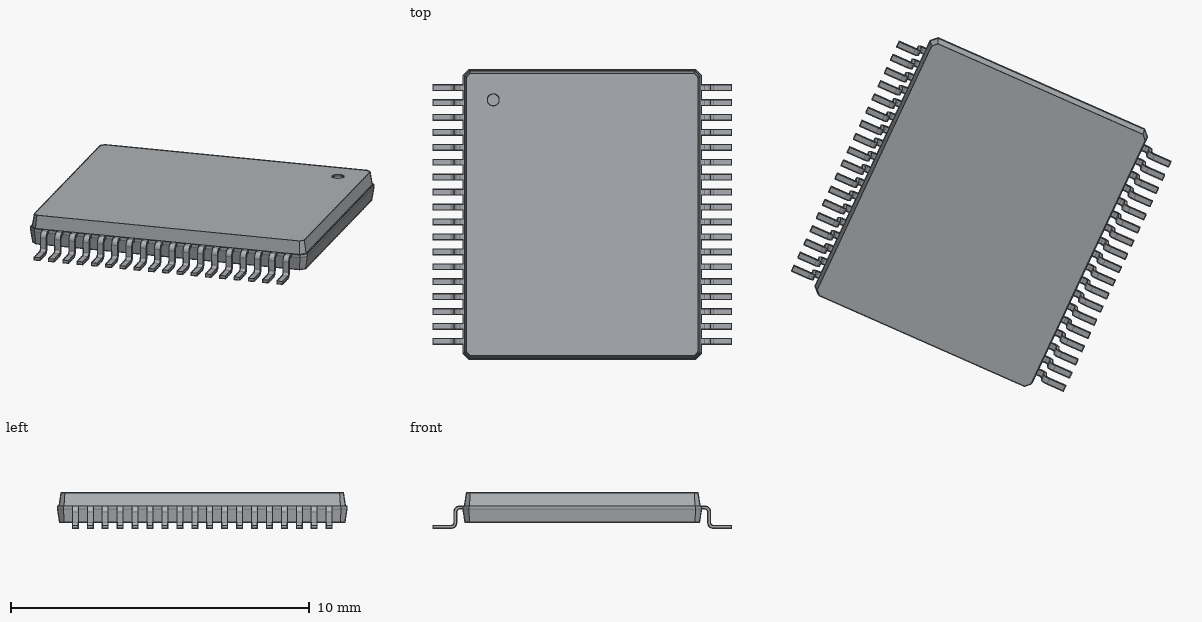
import cadquery as cq
import math

lead_span = 10.0
body_width = 8.0
body_length = 9.7
total_height = 1.2
standoff = 0.2
corner_chamfer = 0.2

leads_per_side = 18
lead_pitch = 0.5
lead_width = 0.2
lead_thickness = 0.1
bend_inner_radius = 0.1
shank_outer_x = 4.3
lead_embed = 0.1

band_height = lead_thickness
upper_ledge = 0.05
half_inset = 0.07

marker_diameter = 0.4
marker_depth = 0.05
marker_x = -2.98
marker_y = 3.84

half_height = (total_height - standoff - band_height) / 2
band_bottom = standoff + half_height
band_top = band_bottom + band_height
draft_angle = math.degrees(math.atan(half_inset / half_height))


def chamfered_outline(z, ledge=0.0):
    """Body rectangle with cut corners at height z, set in by ledge on every side."""
    half_x = body_width / 2
    half_y = body_length / 2
    corner_x = half_x - corner_chamfer
    corner_y = half_y - corner_chamfer
    points = [
        (half_x, corner_y),
        (corner_x, half_y),
        (-corner_x, half_y),
        (-half_x, corner_y),
        (-half_x, -corner_y),
        (-corner_x, -half_y),
        (corner_x, -half_y),
        (half_x, -corner_y),
    ]
    outline = cq.Workplane("XY").workplane(offset=z).polyline(points).close()
    if ledge > 0:
        outline = outline.offset2D(-ledge)
    return outline


def make_body():
    band = chamfered_outline(band_bottom).extrude(band_height)
    upper = chamfered_outline(band_top, upper_ledge).extrude(half_height, taper=draft_angle)
    lower = chamfered_outline(band_bottom).extrude(-half_height, taper=draft_angle)
    marker = (
        cq.Workplane("XY")
        .workplane(offset=total_height - marker_depth)
        .center(marker_x, marker_y)
        .circle(marker_diameter / 2)
        .extrude(marker_depth)
    )
    return band.union(upper).union(lower).cut(marker)


def make_lead():
    """Gull-wing lead on the +X side, centred on y = 0."""
    root_x = body_width / 2 - lead_embed
    tip_x = lead_span / 2
    shank_inner_x = shank_outer_x - lead_thickness
    inner = bend_inner_radius
    outer = bend_inner_radius + lead_thickness
    shoulder_x = shank_outer_x - outer
    foot_x = shank_inner_x + outer
    return (
        cq.Workplane("XZ")
        .moveTo(root_x, band_top)
        .lineTo(shoulder_x, band_top)
        .radiusArc((shank_outer_x, band_top - outer), outer)
        .lineTo(shank_outer_x, outer)
        .radiusArc((foot_x, lead_thickness), -inner)
        .lineTo(tip_x, lead_thickness)
        .lineTo(tip_x, 0)
        .lineTo(foot_x, 0)
        .radiusArc((shank_inner_x, outer), outer)
        .lineTo(shank_inner_x, band_top - outer)
        .radiusArc((shoulder_x, band_bottom), -inner)
        .lineTo(root_x, band_bottom)
        .close()
        .extrude(lead_width / 2, both=True)
    )


result = make_body()
right_lead = make_lead()
left_lead = right_lead.mirror("YZ")
first_lead_y = -(leads_per_side - 1) * lead_pitch / 2
for index in range(leads_per_side):
    lead_y = first_lead_y + index * lead_pitch
    for lead in (left_lead, right_lead):
        result = result.union(lead.translate((0, lead_y, 0)))